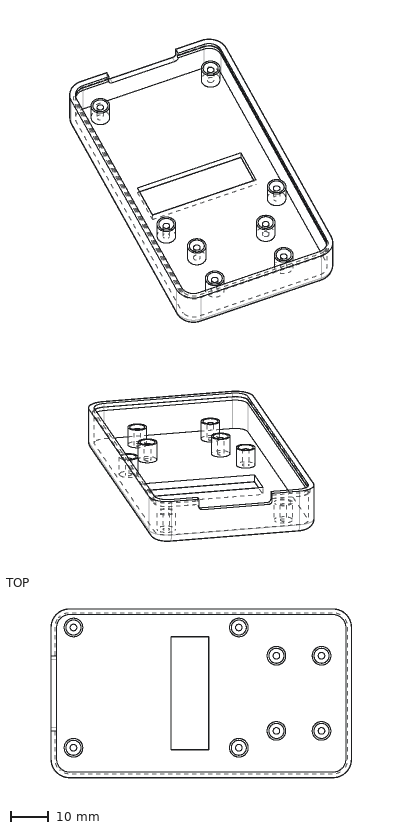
import cadquery as cq
import math

length = 80.0
width = 45.0
height = 12.0
corner_radius = 5.0
bottom_fillet = 2.5
wall = 1.5
floor = 2.0

groove_diameter = 1.0
groove_depth_below_rim = 1.5

window_length = 10.0
window_width = 30.0
window_center_x = -3.0

notch_width = 20.0
notch_depth = 3.0
notch_fillet = 1.0

boss_diameter = 5.0
boss_height = 5.0
countersink_diameter = 4.0
countersink_angle = 118.0
pilot_diameter = 1.8
pilot_depth = boss_height
drill_point_angle = 118.0
outer_boss_xs = (-34.0, 10.0)
outer_boss_ys = (-14.5, 17.5)
inner_boss_xs = (20.0, 32.0)
inner_boss_ys = (-10.0, 10.0)

cavity_length = length - 2 * wall
cavity_width = width - 2 * wall
cavity_radius = corner_radius - wall
boss_top = floor + boss_height


def rounded_block(size_x, size_y, size_z, radius, base_z):
    """Upright block with rounded vertical corners, centred on the Z axis."""
    block = cq.Workplane("XY").workplane(offset=base_z).rect(size_x, size_y).extrude(size_z)
    return block.edges("|Z").fillet(radius)


def make_shell():
    outside = rounded_block(length, width, height, corner_radius, 0)
    outside = outside.faces("<Z").edges().fillet(bottom_fillet)
    cavity = rounded_block(cavity_length, cavity_width, height - floor, cavity_radius, floor)
    return outside.cut(cavity)


def make_groove():
    """Round bar running along the cavity wall, just below the rim."""
    axis_z = height - groove_depth_below_rim
    half_straight = cavity_length / 2 - cavity_radius
    half_x = cavity_length / 2
    half_y = cavity_width / 2
    arc_offset = cavity_radius * (1 - math.sqrt(0.5))
    path = (
        cq.Workplane("XY", origin=(0, 0, axis_z))
        .moveTo(0, -half_y)
        .lineTo(half_straight, -half_y)
        .threePointArc((half_x - arc_offset, -half_y + arc_offset), (half_x, -half_y + cavity_radius))
        .lineTo(half_x, half_y - cavity_radius)
        .threePointArc((half_x - arc_offset, half_y - arc_offset), (half_straight, half_y))
        .lineTo(-half_straight, half_y)
        .threePointArc((-half_x + arc_offset, half_y - arc_offset), (-half_x, half_y - cavity_radius))
        .lineTo(-half_x, -half_y + cavity_radius)
        .threePointArc((-half_x + arc_offset, -half_y + arc_offset), (-half_straight, -half_y))
        .close()
    )
    profile = cq.Workplane("YZ", origin=(0, -half_y, axis_z)).circle(groove_diameter / 2)
    return profile.sweep(path)


def make_window():
    return cq.Workplane("XY").center(window_center_x, 0).rect(window_length, window_width).extrude(floor)


def make_notch():
    notch = cq.Workplane("XY").box(2 * wall, notch_width, 2 * notch_depth)
    notch = notch.edges("|X and <Z").fillet(notch_fillet)
    return notch.translate((-length / 2, 0, height))


def make_screw_hole():
    """Countersunk blind hole with a conical drill point, its mouth at Z = 0."""
    pilot_radius = pilot_diameter / 2
    countersink_radius = countersink_diameter / 2
    countersink_half_angle = math.radians(countersink_angle / 2)
    countersink_depth = (countersink_radius - pilot_radius) / math.tan(countersink_half_angle)
    point_depth = pilot_radius / math.tan(math.radians(drill_point_angle / 2))
    half_section = [
        (0, 0),
        (countersink_radius, 0),
        (pilot_radius, -countersink_depth),
        (pilot_radius, -pilot_depth),
        (0, -pilot_depth - point_depth),
    ]
    return cq.Workplane("XZ").polyline(half_section).close().revolve(360, (0, 0), (0, 1))


def add_bosses(body):
    centers = [(x, y) for x in outer_boss_xs for y in outer_boss_ys]
    centers += [(x, y) for x in inner_boss_xs for y in inner_boss_ys]
    bosses = (
        cq.Workplane("XY")
        .workplane(offset=floor)
        .pushPoints(centers)
        .circle(boss_diameter / 2)
        .extrude(boss_height)
    )
    body = body.union(bosses)
    screw_hole = make_screw_hole()
    for x, y in centers:
        body = body.cut(screw_hole.translate((x, y, boss_top)))
    return body


shell = make_shell().cut(make_groove()).cut(make_window()).cut(make_notch())
result = add_bosses(shell)